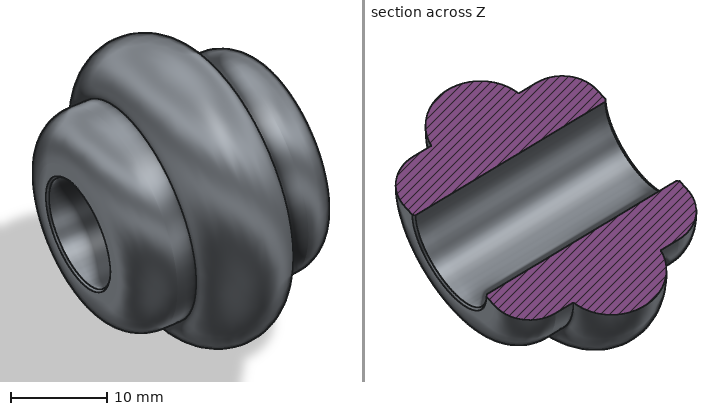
import cadquery as cq

body_diameter = 25.0
body_length = 25.0
rim_diameter = 34.5
rim_width = 11.5
end_rounding = 4.55
bore_diameter = 12.5
bore_chamfer = 0.25

body_radius = body_diameter / 2
half_length = body_length / 2
rim_radius = rim_diameter / 2
rim_round_radius = rim_width / 2
rim_round_centre = rim_radius - rim_round_radius


def along_y(radius, length):
    """Solid cylinder centred on the origin with its axis along Y."""
    return cq.Workplane("XZ").circle(radius).extrude(length / 2, both=True)


def make_body():
    """Barrel with both end edges rounded."""
    return along_y(body_radius, body_length).edges("%CIRCLE").fillet(end_rounding)


def make_rim():
    """Central rim whose outer edge is a full half-round."""
    return (
        cq.Workplane("XY")
        .moveTo(0, -rim_round_radius)
        .lineTo(rim_round_centre, -rim_round_radius)
        .threePointArc((rim_radius, 0), (rim_round_centre, rim_round_radius))
        .lineTo(0, rim_round_radius)
        .close()
        .revolve(axisStart=(0, 0, 0), axisEnd=(0, 1, 0))
    )


def make_bore():
    """Through bore with a small chamfer widening it at each end face."""
    bore_radius = bore_diameter / 2
    mouth_radius = bore_radius + bore_chamfer
    chamfer_start = half_length - bore_chamfer
    return (
        cq.Workplane("XY")
        .moveTo(0, -half_length)
        .lineTo(mouth_radius, -half_length)
        .lineTo(bore_radius, -chamfer_start)
        .lineTo(bore_radius, chamfer_start)
        .lineTo(mouth_radius, half_length)
        .lineTo(0, half_length)
        .close()
        .revolve(axisStart=(0, 0, 0), axisEnd=(0, 1, 0))
    )


result = make_body().union(make_rim()).cut(make_bore())